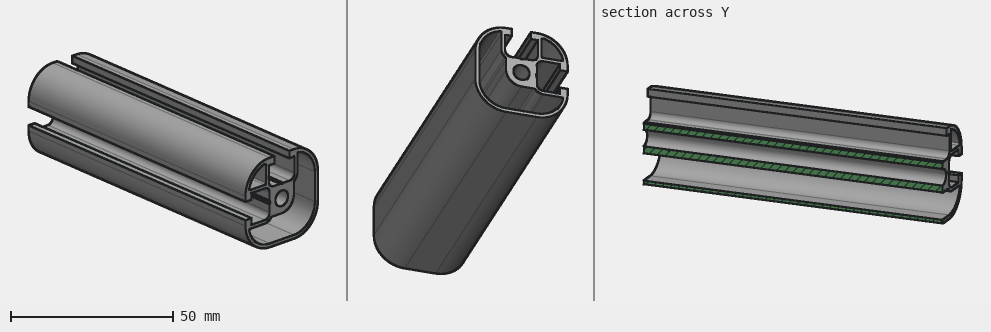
import cadquery as cq
import math

length = 100.0
size = 30.0
corner_radius = 10.0
skin = 1.3

slot_opening = 6.2
lip_depth = 2.5
slot_width = 10.6
slot_wall = 1.2
slot_corner_radius = 2.0
groove_width = 1.2
groove_depth = 0.3

core_half = 5.0
bore_diameter = 5.2

tip_radius = 0.5
web_radius = 1.0

half = size / 2
slot_half = slot_width / 2
wall_outer = slot_half + slot_wall
wall_bend_radius = slot_corner_radius + slot_wall
wall_bottom = core_half - slot_wall
inner_radius = corner_radius - skin

section_plane = cq.Plane(origin=(length / 2, 0, 0), xDir=(0, -1, 0), normal=(-1, 0, 0))


def bar(u_min, u_max, v_min, v_max):
    """Full-length rectangular bar between the given section limits."""
    return (
        cq.Workplane(section_plane)
        .center((u_min + u_max) / 2, (v_min + v_max) / 2)
        .rect(u_max - u_min, v_max - v_min)
        .extrude(length)
    )


def rounded_square(width, radius):
    return bar(-width / 2, width / 2, -width / 2, width / 2).edges("|X").fillet(radius)


def mirrored(body):
    """Swap u and v by a half turn about the section diagonal."""
    return body.rotate((0, 0, 0), (0, -1, 1), 180)


def fillet_at(body, u, v, radius):
    """Round the lengthwise edge nearest to a section point."""
    point = (0, -u, v)
    return body.edges("|X").edges(cq.NearestToPointSelector(point)).fillet(radius)


def top_slot():
    channel = bar(-slot_half, slot_half, core_half, half - lip_depth)
    for side in (-1, 1):
        channel = fillet_at(channel, side * slot_half, core_half, slot_corner_radius)
    mouth = bar(-slot_opening / 2, slot_opening / 2, half - lip_depth, half)
    groove = (
        cq.Workplane(section_plane)
        .moveTo(-groove_width / 2, core_half)
        .lineTo(0, core_half - groove_depth)
        .lineTo(groove_width / 2, core_half)
        .close()
        .extrude(length)
    )
    return channel.union(mouth).union(groove)


def small_chamber(cavity):
    """Closed chamber in the corner between the two slots."""
    chamber = cavity.intersect(bar(wall_outer, half, wall_outer, half))
    return chamber.edges("|X").fillet(tip_radius)


def large_chamber(cavity):
    """L-shaped chamber wrapping the core and the outer slot walls."""
    slot_block = bar(-wall_outer, half, wall_bottom, half)
    slot_block = fillet_at(slot_block, -wall_outer, wall_bottom, wall_bend_radius)
    core = bar(-core_half, half, -core_half, half)
    core = fillet_at(core, -core_half, -core_half, core_half)
    chamber = cavity.cut(slot_block).cut(mirrored(slot_block)).cut(core)

    bend_u = wall_bend_radius - wall_outer
    bend_v = wall_bottom + wall_bend_radius
    web_v = bend_v - math.sqrt(wall_bend_radius**2 - (core_half + bend_u) ** 2)
    arc_center = half - corner_radius
    tip_v = arc_center + math.sqrt(inner_radius**2 - (wall_outer - arc_center) ** 2)

    for u, v, radius in ((-core_half, web_v, web_radius), (-wall_outer, tip_v, tip_radius)):
        chamber = fillet_at(chamber, u, v, radius)
        chamber = fillet_at(chamber, v, u, radius)
    return chamber


cavity = rounded_square(size - 2 * skin, inner_radius)
slot = top_slot()
bore = cq.Workplane(section_plane).circle(bore_diameter / 2).extrude(length)

profile = rounded_square(size, corner_radius)
for void in (slot, mirrored(slot), small_chamber(cavity), large_chamber(cavity), bore):
    profile = profile.cut(void)

result = cq.Workplane("XY").newObject([profile.solids().val()])